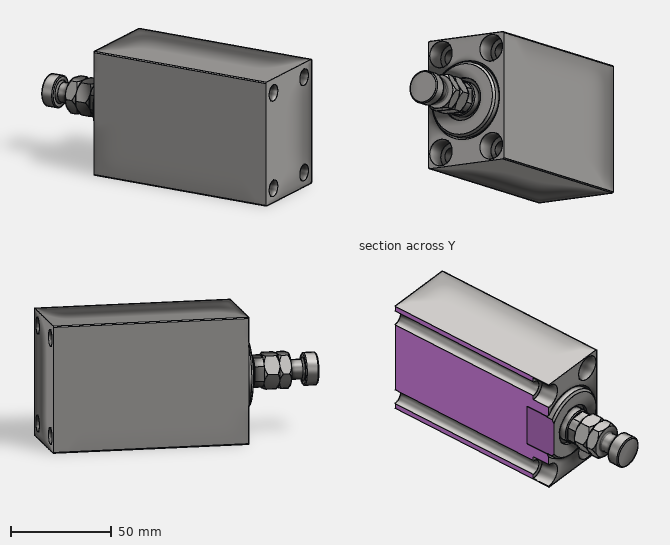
import cadquery as cq
import math

TOTAL_LENGTH = 139.0
HOUSING_WIDTH = 45.0
HOUSING_HEIGHT = 65.0

HEAD_END = 6.7
NECK_END = 14.0
THIN_HEX_END = 20.0
THICK_HEX_END = 28.0
ROD_FLATS_END = 32.8
GLAND_FACE = 35.7
HOUSING_FACE = 39.0

HOUSING_LENGTH = TOTAL_LENGTH - HOUSING_FACE
HOUSING_EDGE_CHAMFER = 0.5
BORE_ENTRY_CHAMFER = 1.0
BOLT_SPACING_Y = 30.0
BOLT_SPACING_Z = 50.0
BOLT_HOLE_DIAMETER = 8.5
COUNTERBORE_DIAMETER = 13.5
COUNTERBORE_DEPTH = 10.0

GLAND_DIAMETER = 38.1
GLAND_CHAMFER = 1.1
GLAND_INSERTION = 13.9
GLAND_INNER_FACE = HOUSING_FACE + GLAND_INSERTION
WIPER_RECESS_DIAMETER = 21.7
WIPER_RECESS_DEPTH = 1.7

ROD_DIAMETER = 18.0
ROD_CHAMFER = 0.5
ROD_END_DIAMETER = ROD_DIAMETER - 2 * ROD_CHAMFER
ROD_ACROSS_FLATS = 15.0

HEAD_DIAMETER = 16.5
HEAD_CHAMFER = 0.5
NECK_DIAMETER = 10.0
NECK_HEAD_CHAMFER = 1.0
NECK_HEX_FILLET = 0.5
HEX_ACROSS_FLATS = 17.0
HEX_CORNER_DIAMETER = HEX_ACROSS_FLATS / math.cos(math.pi / 6)
SHANK_DIAMETER = 10.0
SHANK_LENGTH = 12.5
SHANK_END = THICK_HEX_END + SHANK_LENGTH


def cylinder_x(start, end, diameter):
    """Cylinder on the X axis between two stations."""
    return cq.Workplane("YZ", origin=(start, 0, 0)).circle(diameter / 2).extrude(end - start)


def make_housing():
    """Block with a blind gland bore and four counterbored bolt holes running its full length."""
    block = (
        cq.Workplane("YZ", origin=(HOUSING_FACE, 0, 0))
        .rect(HOUSING_WIDTH, HOUSING_HEIGHT)
        .extrude(HOUSING_LENGTH)
        .edges("|X")
        .chamfer(HOUSING_EDGE_CHAMFER)
    )
    block = (
        block.faces("<X")
        .workplane(centerOption="CenterOfBoundBox")
        .rect(BOLT_SPACING_Y, BOLT_SPACING_Z, forConstruction=True)
        .vertices()
        .cboreHole(BOLT_HOLE_DIAMETER, COUNTERBORE_DIAMETER, COUNTERBORE_DEPTH)
    )
    bore = cylinder_x(HOUSING_FACE, GLAND_INNER_FACE, GLAND_DIAMETER)
    entry_cone = cq.Workplane(
        cq.Solid.makeCone(
            GLAND_DIAMETER / 2 + BORE_ENTRY_CHAMFER,
            GLAND_DIAMETER / 2,
            BORE_ENTRY_CHAMFER,
            cq.Vector(HOUSING_FACE, 0, 0),
            cq.Vector(1, 0, 0),
        )
    )
    return block.cut(bore).cut(entry_cone)


def make_gland():
    """Chamfered bush with a through bore for the rod and a recess around the rod."""
    bush = cylinder_x(GLAND_FACE, GLAND_INNER_FACE, GLAND_DIAMETER).faces("<X").chamfer(GLAND_CHAMFER)
    rod_bore = cylinder_x(GLAND_FACE, GLAND_INNER_FACE, ROD_DIAMETER)
    recess = cylinder_x(GLAND_FACE, GLAND_FACE + WIPER_RECESS_DEPTH, WIPER_RECESS_DIAMETER)
    return bush.cut(rod_bore).cut(recess)


def make_piston_rod():
    """Rod with four wrench flats on its reduced end and a blind bore for the coupling shank."""
    guide = cylinder_x(ROD_FLATS_END, GLAND_INNER_FACE, ROD_DIAMETER).faces("<X").chamfer(ROD_CHAMFER)
    square = (
        cq.Workplane("YZ", origin=(THICK_HEX_END, 0, 0))
        .rect(ROD_ACROSS_FLATS, ROD_ACROSS_FLATS)
        .extrude(ROD_FLATS_END - THICK_HEX_END)
    )
    wrench_end = cylinder_x(THICK_HEX_END, ROD_FLATS_END, ROD_END_DIAMETER).intersect(square)
    shank_bore = cylinder_x(THICK_HEX_END, SHANK_END, SHANK_DIAMETER)
    return guide.union(wrench_end).cut(shank_bore)


def make_hexagon(start, end):
    """Hexagon with flats facing +Z and -Z, its corners chamfered at 45 degrees at both ends."""
    prism = (
        cq.Workplane("YZ", origin=(start, 0, 0)).polygon(6, HEX_CORNER_DIAMETER).extrude(end - start)
    )
    corner_chamfer = (HEX_CORNER_DIAMETER - HEX_ACROSS_FLATS) / 2
    envelope = cylinder_x(start, end, HEX_CORNER_DIAMETER).faces("<X or >X").chamfer(corner_chamfer)
    return prism.intersect(envelope)


def make_coupling():
    """Button head on a neck, two hexagons side by side and a shank that enters the rod."""
    head = cylinder_x(0, HEAD_END, HEAD_DIAMETER).faces("<X or >X").chamfer(HEAD_CHAMFER)
    neck_radius = NECK_DIAMETER / 2
    neck = (
        cq.Workplane("XY")
        .moveTo(HEAD_END, 0)
        .lineTo(HEAD_END, neck_radius + NECK_HEAD_CHAMFER)
        .lineTo(HEAD_END + NECK_HEAD_CHAMFER, neck_radius)
        .lineTo(NECK_END - NECK_HEX_FILLET, neck_radius)
        .radiusArc((NECK_END, neck_radius + NECK_HEX_FILLET), -NECK_HEX_FILLET)
        .lineTo(NECK_END, 0)
        .close()
        .revolve(360, (0, 0, 0), (1, 0, 0))
    )
    thin_hex = make_hexagon(NECK_END, THIN_HEX_END)
    thick_hex = make_hexagon(THIN_HEX_END, THICK_HEX_END)
    shank = cylinder_x(THICK_HEX_END, SHANK_END, SHANK_DIAMETER)
    return head.union(neck).union(thin_hex).union(thick_hex).union(shank)


housing = make_housing()
gland = make_gland()
piston_rod = make_piston_rod()
coupling = make_coupling()

result = cq.Compound.makeCompound(
    [housing.val(), gland.val(), piston_rod.val(), coupling.val()]
)